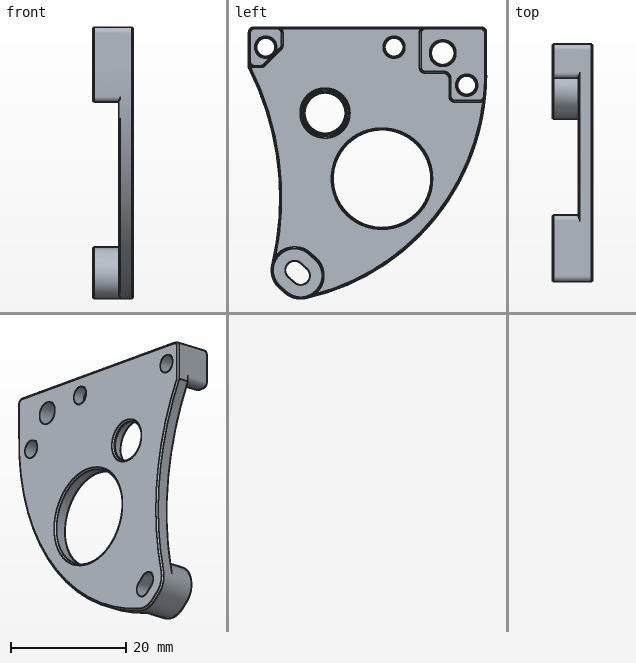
import cadquery as cq
import math

FACE = cq.Plane(origin=(0, 0, 0), xDir=(0, -1, 0), normal=(-1, 0, 0))

total_thickness = 7.08
pad_height = 4.5
plate_thickness = total_thickness - pad_height
edge_chamfer = 0.3
pad_root = plate_thickness / 2

plate_width = 41.36
plate_height = 47.24
top_edge = 7.0
bottom_edge = top_edge - plate_height
corner_radius = 1.0
outer_radius = 40.0
waist_radius = 50.0

boss_radius = 4.05
slot_width = 3.2
slot_travel = 1.4
slot_slope = 42.0
lower_u = 9.06
lower_v = bottom_edge + boss_radius
slot_run = slot_travel * math.cos(math.radians(slot_slope))
slot_drop = slot_travel * math.sin(math.radians(slot_slope))
upper_u = lower_u - slot_run
upper_v = lower_v + slot_drop

small_pad_width = 6.0
small_pad_bevel = 3.45

step_pad_left = 29.7
step_pad_shelf = -1.0
step_pad_inner = 34.87
step_pad_bottom = -6.05

screw_diameter = 3.2
pin_diameter = 4.0
screw_row = 3.5
small_pad_hole = (3.0, screw_row)
plate_screw_hole = (25.3, screw_row)
step_pad_pin_hole = (33.76, 2.47)
step_pad_screw_hole = (37.93, -3.1)
bearing_center = (13.3, -7.95)
bearing_bore = 7.0
bearing_seat = 8.1
bearing_lip = 0.5
window_center = (23.2, -19.35)
window_diameter = 17.0


def plane_at(w):
    return cq.Workplane(FACE).workplane(offset=w)


def midpoint(start, end):
    return ((start[0] + end[0]) / 2, (start[1] + end[1]) / 2)


def toward(start, end, distance):
    """Point at the given distance from start in the direction of end."""
    du = end[0] - start[0]
    dv = end[1] - start[1]
    length = math.hypot(du, dv)
    return (start[0] + du * distance / length, start[1] + dv * distance / length)


def arc_center(start, radius, tangent_center, tangent_distance):
    """Arc centre at radius from start and at tangent_distance from tangent_center.

    Of the two such points, this is the one right of the line from start to tangent_center.
    """
    du = tangent_center[0] - start[0]
    dv = tangent_center[1] - start[1]
    span = math.hypot(du, dv)
    along = (radius ** 2 - tangent_distance ** 2 + span ** 2) / (2 * span)
    across = math.sqrt(radius ** 2 - along ** 2)
    center_u = start[0] + (du * along + dv * across) / span
    center_v = start[1] + (dv * along - du * across) / span
    return (center_u, center_v)


def outline_prism(thickness):
    """Plate outline extruded from the back face."""
    lower = (lower_u, lower_v)
    upper = (upper_u, upper_v)
    flat_du = -boss_radius * math.sin(math.radians(slot_slope))
    flat_dv = -boss_radius * math.cos(math.radians(slot_slope))
    flat_low = (lower_u + flat_du, lower_v + flat_dv)
    flat_high = (upper_u + flat_du, upper_v + flat_dv)
    outer_start = (plate_width, 0)
    outer = arc_center(outer_start, outer_radius, lower, outer_radius - boss_radius)
    outer_end = toward(outer, lower, outer_radius)
    outer_middle = toward(outer, midpoint(outer_start, outer_end), outer_radius)
    boss_bottom = (lower_u, bottom_edge)
    waist_start = (0, 0)
    waist = arc_center(waist_start, waist_radius, upper, waist_radius + boss_radius)
    waist_end = toward(waist, upper, waist_radius)
    waist_middle = toward(waist, midpoint(waist_start, waist_end), waist_radius)
    boss_left = (upper_u - boss_radius, upper_v)
    prism = (
        plane_at(0)
        .moveTo(*waist_start)
        .lineTo(0, top_edge)
        .lineTo(plate_width, top_edge)
        .lineTo(*outer_start)
        .threePointArc(outer_middle, outer_end)
        .threePointArc(boss_bottom, flat_low)
        .lineTo(*flat_high)
        .threePointArc(boss_left, waist_end)
        .threePointArc(waist_middle, waist_start)
        .close()
        .extrude(thickness)
    )
    return prism.edges("|X and >Z").fillet(corner_radius)


def plate():
    return outline_prism(plate_thickness).faces("|X").chamfer(edge_chamfer)


def pad_prism(points):
    return plane_at(pad_root).polyline(points).close().extrude(total_thickness - pad_root)


def small_pad():
    points = [
        (0, 0),
        (0, top_edge),
        (small_pad_width, top_edge),
        (small_pad_width, small_pad_bevel),
        (small_pad_width - small_pad_bevel, 0),
    ]
    return pad_prism(points).edges("|X").fillet(corner_radius).faces("<X").chamfer(edge_chamfer)


def step_pad():
    beyond_edge = plate_width + corner_radius
    points = [
        (step_pad_left, top_edge),
        (beyond_edge, top_edge),
        (beyond_edge, step_pad_bottom),
        (step_pad_inner, step_pad_bottom),
        (step_pad_inner, step_pad_shelf),
        (step_pad_left, step_pad_shelf),
    ]
    pad = pad_prism(points).edges("|X and (not <Y)").fillet(corner_radius)
    pad = pad.intersect(outline_prism(total_thickness))
    pad = pad.edges("|X").edges("<Z").edges("<Y").fillet(corner_radius)
    return pad.faces("<X").chamfer(edge_chamfer)


def slot_prism(width, start, end):
    return (
        plane_at(start)
        .center(*midpoint((lower_u, lower_v), (upper_u, upper_v)))
        .slot2D(slot_travel + width, width, -slot_slope)
        .extrude(end - start)
    )


def boss():
    return slot_prism(2 * boss_radius, pad_root, total_thickness).faces("<X").chamfer(edge_chamfer)


def round_cutter(center, diameter, start, end):
    return plane_at(start).center(*center).circle(diameter / 2).extrude(end - start)


def cone_cutter(center, start_diameter, end_diameter, start, end):
    return (
        plane_at(start)
        .center(*center)
        .circle(start_diameter / 2)
        .workplane(offset=end - start)
        .circle(end_diameter / 2)
        .loft()
    )


def front_chamfered_hole(center, diameter, mouth):
    """Through hole with a chamfer on the front face at w = mouth."""
    flared = diameter + 2 * edge_chamfer
    bore = round_cutter(center, diameter, 0, mouth)
    return bore.union(cone_cutter(center, diameter, flared, mouth - edge_chamfer, mouth))


def back_chamfer(center, diameter):
    return cone_cutter(center, diameter + 2 * edge_chamfer, diameter, 0, edge_chamfer)


def window():
    hole = front_chamfered_hole(window_center, window_diameter, plate_thickness)
    return hole.union(back_chamfer(window_center, window_diameter))


def bearing_hole():
    """Stepped bore: a seat with a bevelled floor edge above a narrower chamfered bore."""
    floor_diameter = bearing_seat - 2 * edge_chamfer
    mouth_diameter = bearing_seat + 2 * edge_chamfer
    bevel_top = bearing_lip + edge_chamfer
    mouth_start = plate_thickness - edge_chamfer
    return (
        round_cutter(bearing_center, bearing_bore, 0, plate_thickness)
        .union(back_chamfer(bearing_center, bearing_bore))
        .union(cone_cutter(bearing_center, floor_diameter, bearing_seat, bearing_lip, bevel_top))
        .union(round_cutter(bearing_center, bearing_seat, bevel_top, plate_thickness))
        .union(cone_cutter(bearing_center, bearing_seat, mouth_diameter, mouth_start, plate_thickness))
    )


result = plate().union(small_pad()).union(step_pad()).union(boss())
cutters = [
    front_chamfered_hole(small_pad_hole, screw_diameter, total_thickness),
    front_chamfered_hole(plate_screw_hole, screw_diameter, plate_thickness),
    front_chamfered_hole(step_pad_pin_hole, pin_diameter, total_thickness),
    front_chamfered_hole(step_pad_screw_hole, screw_diameter, total_thickness),
    window(),
    bearing_hole(),
    slot_prism(slot_width, 0, total_thickness),
]
for cutter in cutters:
    result = result.cut(cutter)